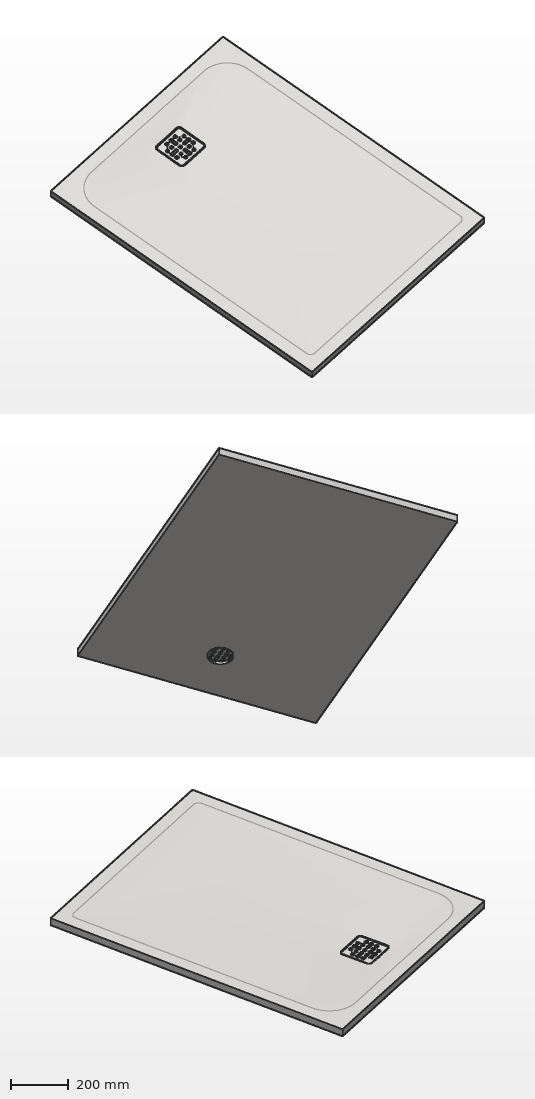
import cadquery as cq

TRAY_LENGTH = 1200.0
TRAY_WIDTH = 900.0
TRAY_HEIGHT = 30.0

RIM_WIDTH = 49.0
DRAIN_END_RADIUS = 108.0
FAR_END_RADIUS = 20.0
FLOOR_FALL = 15.0

FLOOR_RAYS = 36
FLOOR_STEPS = 6

DRAIN_FROM_END = 200.0
RECESS_SIZE = 127.0
RECESS_CORNER_RADIUS = 12.0
OUTLET_DIAMETER = 90.0

GRATE_GAP = 2.0
GRATE_THICKNESS = 4.0
HOLE_SIZE = 10.0
HOLE_PITCH = 22.0

DRAIN_X = DRAIN_FROM_END - TRAY_LENGTH / 2
FLOOR_LOW_Z = TRAY_HEIGHT - FLOOR_FALL
RECESS_FLOOR_Z = FLOOR_LOW_Z - GRATE_THICKNESS


def rim_outline():
    """Inner edge of the flat rim, with large corners at the drain end and small ones at the far end."""
    return (
        cq.Workplane("XY", origin=(0, 0, TRAY_HEIGHT))
        .rect(TRAY_LENGTH - 2 * RIM_WIDTH, TRAY_WIDTH - 2 * RIM_WIDTH)
        .extrude(-TRAY_HEIGHT)
        .edges("|Z and <X")
        .fillet(DRAIN_END_RADIUS)
        .edges("|Z and >X")
        .fillet(FAR_END_RADIUS)
        .faces(">Z")
        .wires()
        .val()
    )


def floor_hollow():
    """Volume above the floor, one smooth surface that falls evenly from the rim to the drain."""
    outline = rim_outline()
    drain = cq.Vector(DRAIN_X, 0, FLOOR_LOW_Z)
    guide_points = [drain]
    for ray in range(FLOOR_RAYS):
        rim_point = outline.positionAt(ray / FLOOR_RAYS)
        outward = cq.Vector(rim_point.x - DRAIN_X, rim_point.y, 0).normalized()
        drain_point = drain + outward * (RECESS_SIZE / 2)
        for step in range(FLOOR_STEPS):
            guide_points.append(drain_point + (rim_point - drain_point) * (step / FLOOR_STEPS))
    floor = cq.Face.makeNSidedSurface(outline.Edges(), guide_points)
    lid = cq.Face.makeFromWires(outline)
    return cq.Workplane(cq.Solid.makeSolid(cq.Shell.makeShell([floor, lid])))


def rounded_square(size, corner_radius, bottom_z, height):
    """Upright square block with rounded corners, centred on the drain."""
    return (
        cq.Workplane("XY", origin=(DRAIN_X, 0, bottom_z))
        .rect(size, size)
        .extrude(height)
        .edges("|Z")
        .fillet(corner_radius)
    )


def make_tray():
    slab = cq.Workplane("XY").box(TRAY_LENGTH, TRAY_WIDTH, TRAY_HEIGHT, centered=(True, True, False))
    recess = rounded_square(RECESS_SIZE, RECESS_CORNER_RADIUS, RECESS_FLOOR_Z, TRAY_HEIGHT - RECESS_FLOOR_Z)
    outlet = cq.Workplane("XY").center(DRAIN_X, 0).circle(OUTLET_DIAMETER / 2).extrude(TRAY_HEIGHT)
    return slab.cut(floor_hollow()).cut(recess).cut(outlet)


def grate_openings():
    """Square holes in a five by five grid without its corners; each arm of the central cross is one slot."""
    square_centres = [(0, 0)]
    for x_side in (-1, 1):
        for y_side in (-1, 1):
            for column, row in ((1, 1), (1, 2), (2, 1)):
                square_centres.append((x_side * column * HOLE_PITCH, y_side * row * HOLE_PITCH))
    slot_offset = (HOLE_PITCH + 2 * HOLE_PITCH) / 2
    slot_length = HOLE_PITCH + HOLE_SIZE
    top = cq.Workplane("XY", origin=(DRAIN_X, 0, RECESS_FLOOR_Z))
    squares = top.pushPoints(square_centres).rect(HOLE_SIZE, HOLE_SIZE).extrude(GRATE_THICKNESS)
    x_slots = (
        top.pushPoints([(-slot_offset, 0), (slot_offset, 0)])
        .rect(slot_length, HOLE_SIZE)
        .extrude(GRATE_THICKNESS)
    )
    y_slots = (
        top.pushPoints([(0, -slot_offset), (0, slot_offset)])
        .rect(HOLE_SIZE, slot_length)
        .extrude(GRATE_THICKNESS)
    )
    return squares.union(x_slots).union(y_slots)


def make_grate():
    size = RECESS_SIZE - 2 * GRATE_GAP
    plate = rounded_square(size, RECESS_CORNER_RADIUS - GRATE_GAP, RECESS_FLOOR_Z, GRATE_THICKNESS)
    return plate.cut(grate_openings())


tray = make_tray()
grate = make_grate()
result = cq.Compound.makeCompound([tray.val(), grate.val()])